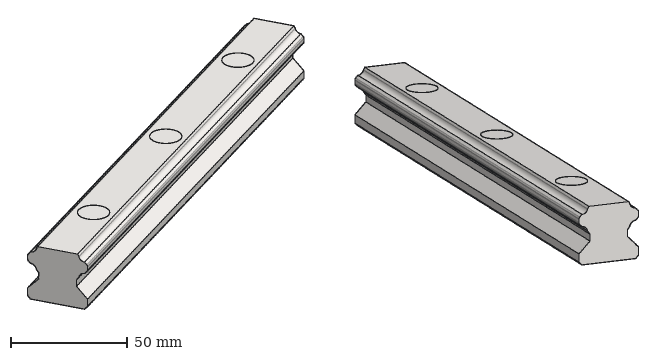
import cadquery as cq
import math

rail_length = 240.0
rail_width = 28.0
rail_height = 26.0
half_width = rail_width / 2

head_mid_z = 20.0
head_half_side = 1.32
head_chamfer = 1.5
head_edge_radius = 1.2

groove_radius = 2.6
groove_outer_x = half_width - head_chamfer
groove_outer_offset = head_half_side + head_chamfer
groove_end_angle = math.radians(10)

top_half_width = 9.4
waist_half_width = 9.0
waist_top_z = 13.5
waist_bottom_z = 10.3
base_side_top_z = waist_bottom_z - (half_width - waist_half_width)
base_chamfer = 1.5

cap_count = 3
cap_spacing = rail_length / cap_count
cap_diameter = 14.0
cap_recess = 0.12


def groove_point(angle, upward):
    """Point on a ball groove arc: upward is 1 for the upper groove and -1 for the lower one.

    Angle 0 points from the arc centre to the rail centre, 90 degrees towards the head's mid height.
    """
    x = groove_outer_x - groove_radius * math.cos(angle)
    offset = groove_outer_offset + groove_radius * (1 - math.sin(angle))
    return (x, head_mid_z + upward * offset)


def half_section():
    """Right half of the rail section in the XZ plane, base at Z = 0."""
    middle_angle = (groove_end_angle + math.pi / 2) / 2
    return (
        cq.Workplane("XZ")
        .moveTo(0, 0)
        .lineTo(half_width - base_chamfer, 0)
        .lineTo(half_width, base_chamfer)
        .lineTo(half_width, base_side_top_z)
        .lineTo(waist_half_width, waist_bottom_z)
        .lineTo(waist_half_width, waist_top_z)
        .lineTo(*groove_point(groove_end_angle, -1))
        .threePointArc(groove_point(middle_angle, -1), groove_point(math.pi / 2, -1))
        .lineTo(half_width, head_mid_z - head_half_side)
        .lineTo(half_width, head_mid_z + head_half_side)
        .lineTo(*groove_point(math.pi / 2, 1))
        .threePointArc(groove_point(middle_angle, 1), groove_point(groove_end_angle, 1))
        .lineTo(top_half_width, rail_height)
        .lineTo(0, rail_height)
        .close()
    )


def rail_body():
    half = half_section().extrude(rail_length / 2, both=True)
    for side_end in (-head_half_side, head_half_side):
        corner = cq.selectors.NearestToPointSelector((half_width, 0, head_mid_z + side_end))
        half = half.edges("|Y").edges(corner).fillet(head_edge_radius)
    return half.union(half.mirror("YZ"))


def cap_recesses():
    return (
        cq.Workplane("XY", origin=(0, 0, rail_height - cap_recess))
        .rarray(2.5, cap_spacing, 1, cap_count)
        .circle(cap_diameter / 2)
        .extrude(cap_recess)
    )


result = rail_body().cut(cap_recesses()).translate((0, 0, -rail_height / 2))